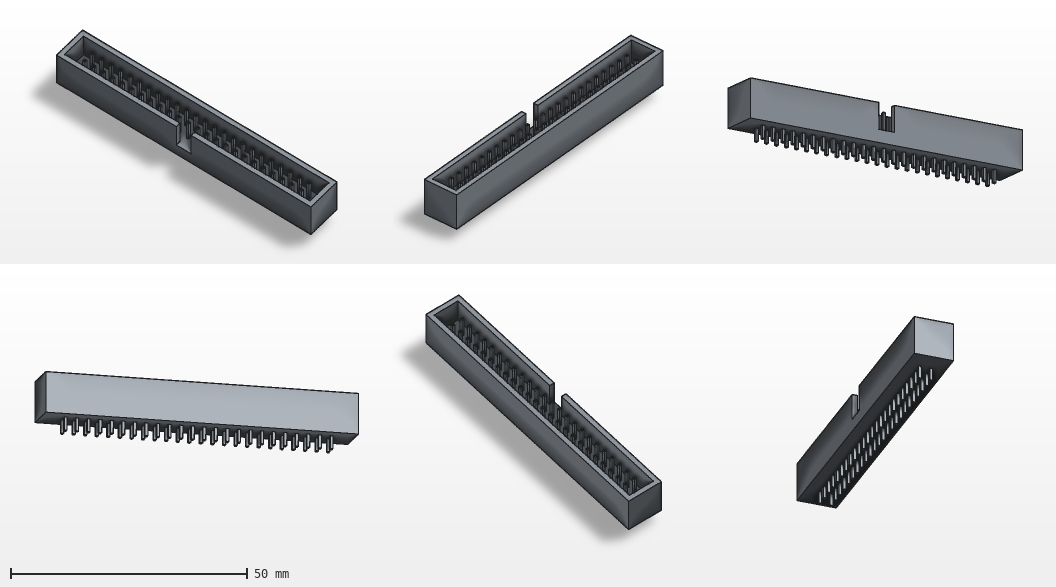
import cadquery as cq

housing_length = 68.6
housing_width = 8.9
housing_height = 8.9
wall_thickness = 1.25
cavity_depth = 6.0

slot_width = 4.0

pin_columns = 24
pin_rows = 2
pin_pitch = 2.55
pin_side = 0.6
pin_tip_chamfer = 0.2
pin_tail_length = 3.0
pin_top_clearance = 0.8

floor_thickness = housing_height - cavity_depth
pin_length = pin_tail_length + housing_height - pin_top_clearance


def make_housing():
    """Box with a rectangular cavity and a slot cut down to the cavity floor."""
    housing = cq.Workplane("XY").box(
        housing_length, housing_width, housing_height, centered=(True, True, False)
    )
    cavity = (
        cq.Workplane("XY")
        .workplane(offset=floor_thickness)
        .rect(housing_length - 2 * wall_thickness, housing_width - 2 * wall_thickness)
        .extrude(cavity_depth)
    )
    slot = (
        cq.Workplane("XY")
        .workplane(offset=floor_thickness)
        .center(0, -(housing_width - wall_thickness) / 2)
        .rect(slot_width, wall_thickness)
        .extrude(cavity_depth)
    )
    return housing.cut(cavity.union(slot))


def make_pins():
    """Grid of square pins with chamfered tips at both ends."""
    pin = (
        cq.Workplane("XY")
        .box(pin_side, pin_side, pin_length, centered=(True, True, False))
        .faces("<Z or >Z")
        .chamfer(pin_tip_chamfer)
        .translate((0, 0, -pin_tail_length))
        .val()
    )
    return (
        cq.Workplane("XY")
        .rarray(pin_pitch, pin_pitch, pin_columns, pin_rows)
        .eachpoint(lambda location: pin.moved(location))
    )


result = make_housing().union(make_pins())